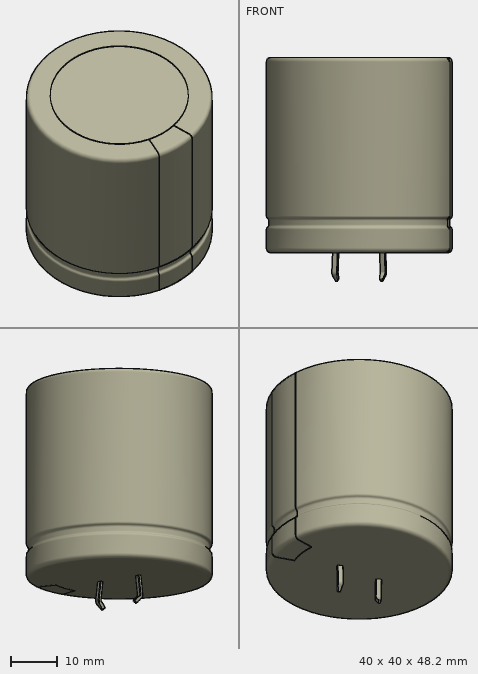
import cadquery as cq
import math

housing_height = 42.0
housing_diameter = 40.0
pin_length = 6.15

rim_radius = 0.95
recess_diameter = 29.7
recess_depth = 0.2

groove_height = 6.45
groove_diameter = 39.0
groove_floor_length = 0.85
groove_flank_length = 1.0

stripe_angle = 26.3
stripe_thickness = recess_depth

pin_spacing = 10.0
pin_width = 1.35
pin_thickness = 0.75
pin_edge_chamfer = 0.17
pin_tip_width = 0.4
pin_yaw = 20.0
pin_root_depth = 0.95
knee_offset = 0.63
knee_drop = 4.45
knee_radius = 0.7
tip_tilt = 42.0


def wall_solid(inset):
    """Solid of revolution with the groove and both rounded rims, moved inward by inset on all sides."""
    wall = housing_diameter / 2 - inset
    groove_floor = groove_diameter / 2 - inset
    bottom = inset
    top = housing_height - inset
    rim = rim_radius - inset
    rim_sagitta = rim * (1 - math.sqrt(0.5))

    floor_low = groove_height - groove_floor_length / 2
    floor_high = groove_height + groove_floor_length / 2
    groove_low = floor_low - groove_flank_length
    groove_high = floor_high + groove_flank_length
    flank_radius = (wall + groove_floor) / 2

    section = (
        cq.Workplane("XZ")
        .moveTo(0, bottom)
        .lineTo(wall - rim, bottom)
        .threePointArc((wall - rim_sagitta, bottom + rim_sagitta), (wall, bottom + rim))
        .lineTo(wall, groove_low)
        .tangentArcPoint((flank_radius, (groove_low + floor_low) / 2), relative=False)
        .tangentArcPoint((groove_floor, floor_low), relative=False)
        .lineTo(groove_floor, floor_high)
        .tangentArcPoint((flank_radius, (floor_high + groove_high) / 2), relative=False)
        .tangentArcPoint((wall, groove_high), relative=False)
        .lineTo(wall, top - rim)
        .threePointArc((wall - rim_sagitta, top - rim_sagitta), (wall - rim, top))
        .lineTo(0, top)
        .close()
    )
    return section.revolve(360, (0, 0, 0), (0, 1, 0))


def make_stripe():
    """Thin band following the wall, wrapped over both rims as far as the recess diameter."""
    reach = housing_diameter
    half_width = reach * math.tan(math.radians(stripe_angle / 2))
    sector = (
        cq.Workplane("XY")
        .polyline([(0, 0), (reach, -half_width), (reach, half_width)])
        .close()
        .extrude(housing_height)
    )
    middle = cq.Workplane("XY").circle(recess_diameter / 2).extrude(housing_height)
    shell = wall_solid(0).cut(wall_solid(stripe_thickness)).cut(middle)
    return shell.intersect(sector)


def make_pin():
    """Bent strip on the Z axis: it leans to -Y down to the knee, then its tip crosses to +Y."""
    tilt = math.radians(tip_tilt)
    tip_z = -pin_length + pin_thickness / 2 * math.sin(tilt)
    tip_y = -knee_offset + (-knee_drop - tip_z) * math.tan(tilt)
    root = cq.Vector(0, 0, pin_root_depth)
    knee = cq.Vector(0, -knee_offset, -knee_drop)
    tip = cq.Vector(0, tip_y, tip_z)

    path = cq.Wire.makePolygon([root, knee, tip]).fillet(knee_radius)
    root_plane = cq.Plane(origin=root, xDir=(1, 0, 0), normal=knee - root)
    section = cq.Sketch().rect(pin_width, pin_thickness).vertices().chamfer(pin_edge_chamfer)
    strip = cq.Workplane(root_plane).placeSketch(section).sweep(cq.Workplane(path))

    outline_top = pin_root_depth + pin_thickness
    outline = (
        cq.Workplane("XZ")
        .moveTo(-pin_width / 2, outline_top)
        .lineTo(-pin_width / 2, -knee_drop)
        .lineTo(-pin_tip_width / 2, -pin_length)
        .lineTo(pin_tip_width / 2, -pin_length)
        .lineTo(pin_width / 2, -knee_drop)
        .lineTo(pin_width / 2, outline_top)
        .close()
        .extrude(pin_length, both=True)
    )
    return strip.intersect(outline)


def make_housing(stripe):
    """Housing with the recess, the seat of the stripe and both pins."""
    recess = (
        cq.Workplane("XY", origin=(0, 0, housing_height - recess_depth))
        .circle(recess_diameter / 2)
        .extrude(recess_depth)
    )
    housing = wall_solid(0).cut(recess).cut(stripe)
    pin = make_pin().rotate((0, 0, 0), (0, 0, 1), -pin_yaw).translate((-pin_spacing / 2, 0, 0))
    for turn in (0, 180):
        housing = housing.union(pin.rotate((0, 0, 0), (0, 0, 1), turn))
    return housing


stripe = make_stripe()
housing = make_housing(stripe)

result = cq.Compound.makeCompound([housing.solids().val(), stripe.solids().val()])